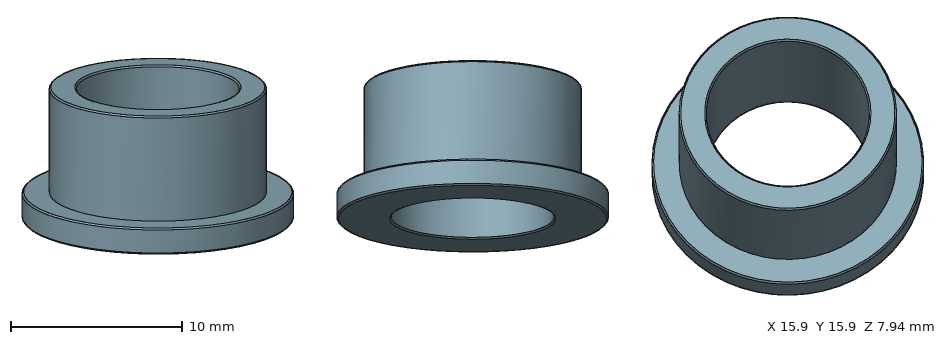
import cadquery as cq

flange_diameter = 15.88
flange_thickness = 1.59
total_height = 7.94
barrel_diameter = 12.7
bore_diameter = 9.53
edge_chamfer = 0.1

flange = (
    cq.Workplane("XY")
    .circle(flange_diameter / 2)
    .extrude(flange_thickness)
    .faces("<Z or >Z")
    .chamfer(edge_chamfer)
)

barrel = (
    cq.Workplane("XY")
    .circle(barrel_diameter / 2)
    .extrude(total_height)
    .faces(">Z")
    .chamfer(edge_chamfer)
)

bushing = flange.union(barrel).faces(">Z").workplane().hole(bore_diameter)
result = bushing.edges("%CIRCLE").edges(cq.selectors.RadiusNthSelector(0)).chamfer(edge_chamfer)